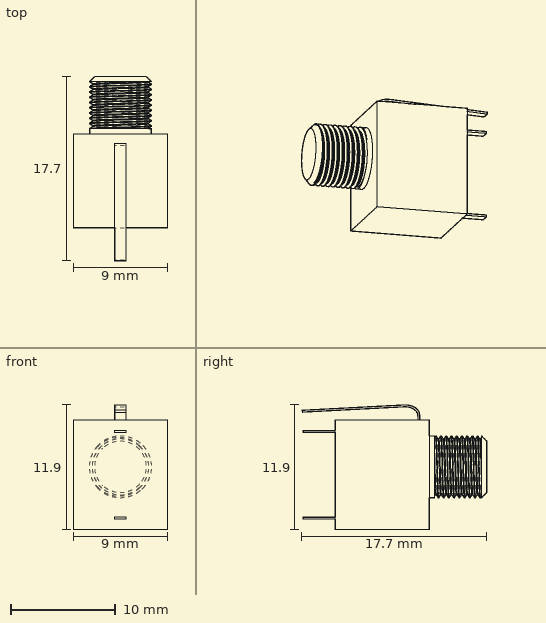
import cadquery as cq
import math


HOUSING_WIDTH = 9.0
HOUSING_DEPTH = 9.0
HOUSING_HEIGHT = 10.5
AXIS_BELOW_TOP = HOUSING_WIDTH / 2
HOUSING_TOP = AXIS_BELOW_TOP
HOUSING_BOTTOM = HOUSING_TOP - HOUSING_HEIGHT

STRIP_WIDTH = 1.1
STRIP_THICKNESS = 0.2
PIN_LENGTH = 3.06
PIN_EDGE_INSET = 1.0

SPRING_SETBACK = 0.9
SPRING_RISE = 1.424
SPRING_OVERHANG = 3.16
SPRING_SLOPE = math.radians(3)
UPRIGHT_HEIGHT = 0.33
BEND_LENGTH = 1.66
SHOULDER_SETBACK = 0.42
SHOULDER_RISE = 1.15
SHOULDER_ANGLE = math.radians(55)

THREAD_DIAMETER = 5.93
THREAD_PITCH = 0.5
THREAD_DEPTH = 0.27
THREAD_TURNS = 9
CREST_WIDTH = 0.06
ROOT_WIDTH = 0.1
COLLAR_LENGTH = 0.5
NOSE_LENGTH = 0.5
NOSE_TAPER = 45
GROOVE_OVERREACH = 0.02
SEAM_ANGLE = 100
THREAD_START_ANGLE = 180
THREAD_RADIUS = THREAD_DIAMETER / 2
ROOT_RADIUS = THREAD_RADIUS - THREAD_DEPTH
THREAD_LENGTH = THREAD_TURNS * THREAD_PITCH


def make_pin(z_low):
    """Flat straight pin whose underside lies at z_low, standing on the rear face."""
    return (
        cq.Workplane("XY")
        .box(STRIP_WIDTH, PIN_LENGTH, STRIP_THICKNESS, centered=(True, False, False))
        .translate((0, -PIN_LENGTH, z_low))
    )


def offset_inwards(point, angle):
    """Point one strip thickness inside the bend, where the outside faces angle from +Y to +Z."""
    return (
        point[0] - STRIP_THICKNESS * math.cos(angle),
        point[1] - STRIP_THICKNESS * math.sin(angle),
    )


def make_spring():
    """Upright strip that bends over the housing and slopes down to the rear."""
    front = HOUSING_DEPTH - SPRING_SETBACK
    arm_angle = math.pi / 2 + SPRING_SLOPE
    up = (0, 1)
    down = (0, -1)
    along_arm = (-math.cos(SPRING_SLOPE), -math.sin(SPRING_SLOPE))
    against_arm = (math.cos(SPRING_SLOPE), math.sin(SPRING_SLOPE))

    outer_foot = (front, HOUSING_TOP)
    outer_start = (front, HOUSING_TOP + UPRIGHT_HEIGHT)
    outer_shoulder = (front - SHOULDER_SETBACK, HOUSING_TOP + SHOULDER_RISE)
    outer_end = (front - BEND_LENGTH, HOUSING_TOP + SPRING_RISE)
    arm_run = outer_end[0] + SPRING_OVERHANG
    outer_tip = (-SPRING_OVERHANG, outer_end[1] - arm_run * math.tan(SPRING_SLOPE))

    inner_tip = offset_inwards(outer_tip, arm_angle)
    inner_end = offset_inwards(outer_end, arm_angle)
    inner_shoulder = offset_inwards(outer_shoulder, SHOULDER_ANGLE)
    inner_start = offset_inwards(outer_start, 0)
    inner_foot = offset_inwards(outer_foot, 0)
    return (
        cq.Workplane("YZ", origin=(-STRIP_WIDTH / 2, 0, 0))
        .moveTo(*outer_foot)
        .lineTo(*outer_start)
        .spline([outer_shoulder, outer_end], tangents=[up, along_arm], includeCurrent=True)
        .lineTo(*outer_tip)
        .lineTo(*inner_tip)
        .lineTo(*inner_end)
        .spline([inner_shoulder, inner_start], tangents=[against_arm, down], includeCurrent=True)
        .lineTo(*inner_foot)
        .close()
        .extrude(STRIP_WIDTH)
    )


def make_housing():
    """Housing block with its two straight pins and the bent terminal."""
    block = (
        cq.Workplane("XY")
        .box(HOUSING_WIDTH, HOUSING_DEPTH, HOUSING_HEIGHT, centered=(True, False, False))
        .translate((0, 0, HOUSING_BOTTOM))
    )
    pin_levels = (
        HOUSING_BOTTOM + PIN_EDGE_INSET,
        HOUSING_TOP - PIN_EDGE_INSET - STRIP_THICKNESS,
    )
    for level in pin_levels:
        block = block.union(make_pin(level))
    return block.union(make_spring())


def make_thread_groove():
    """Right-handed helical V groove around Z, overrunning the thread by half a pitch per end."""
    half_root = ROOT_WIDTH / 2
    half_mouth = (THREAD_PITCH - CREST_WIDTH) / 2
    flank_slope = (half_mouth - half_root) / THREAD_DEPTH
    cutter_depth = THREAD_DEPTH + GROOVE_OVERREACH
    cutter_radius = ROOT_RADIUS + cutter_depth
    half_cutter = half_root + flank_slope * cutter_depth
    helix = cq.Wire.makeHelix(THREAD_PITCH, THREAD_LENGTH + THREAD_PITCH, ROOT_RADIUS)
    groove = (
        cq.Workplane("XZ")
        .polyline([
            (ROOT_RADIUS, -half_root),
            (cutter_radius, -half_cutter),
            (cutter_radius, half_cutter),
            (ROOT_RADIUS, half_root),
        ])
        .close()
        .sweep(cq.Workplane(obj=helix), isFrenet=True)
    )
    return groove.translate((0, 0, -THREAD_PITCH / 2))


def make_bushing():
    """Collar, threaded stretch and conical nose standing on the housing's front face."""
    thread = (
        cq.Workplane("XY")
        .circle(THREAD_RADIUS)
        .extrude(THREAD_LENGTH)
        .rotate((0, 0, 0), (0, 0, 1), SEAM_ANGLE)
        .cut(make_thread_groove())
        .rotate((0, 0, 0), (0, 0, 1), THREAD_START_ANGLE)
        .translate((0, 0, COLLAR_LENGTH))
    )
    collar = cq.Workplane("XY").circle(THREAD_RADIUS).extrude(COLLAR_LENGTH)
    nose = (
        cq.Workplane("XY", origin=(0, 0, COLLAR_LENGTH + THREAD_LENGTH))
        .circle(THREAD_RADIUS)
        .extrude(NOSE_LENGTH, taper=NOSE_TAPER)
    )
    bushing = thread.union(collar).union(nose)
    return bushing.rotate((0, 0, 0), (1, 0, 0), -90).translate((0, HOUSING_DEPTH, 0))


housing = make_housing()
bushing = make_bushing()
result = cq.Compound.makeCompound([housing.solids().val(), bushing.solids().val()])